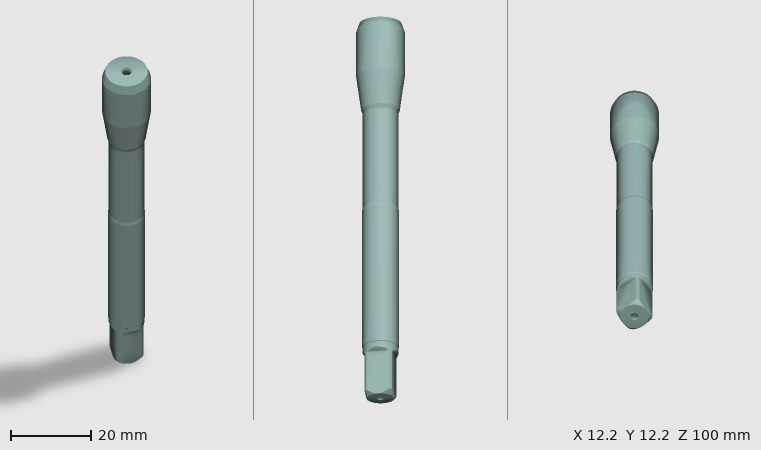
import cadquery as cq

length = 100.0

head_diameter = 12.2
head_top_diameter = 10.6
head_chamfer_height = 2.3
head_bottom_z = 86.1
head_taper_bottom_z = 77.1
head_taper_diameter = 9.7

neck_diameter = 8.9
neck_top_z = 76.1
neck_bottom_z = 50.9

shank_diameter = 9.3
shank_top_z = 50.0
shank_bottom_z = 13.8
shank_bevel_height = 0.2

drive_diameter = 9.0
drive_flat_width = 7.0
drive_flat_top_z = 11.4
drive_ramp_height = 0.8
drive_tip_diameter = 6.9
drive_chamfer_height = 1.2

hole_diameter = 2.0
hole_mouth_diameter = 2.7
hole_mouth_depth = 0.6


def make_body():
    """Revolve the stepped outline, listed from the bottom tip to the top face."""
    diameters_and_heights = [
        (drive_tip_diameter, 0),
        (drive_diameter, drive_chamfer_height),
        (drive_diameter, shank_bottom_z - shank_bevel_height),
        (shank_diameter, shank_bottom_z),
        (shank_diameter, shank_top_z),
        (neck_diameter, neck_bottom_z),
        (neck_diameter, neck_top_z),
        (head_taper_diameter, head_taper_bottom_z),
        (head_diameter, head_bottom_z),
        (head_diameter, length - head_chamfer_height),
        (head_top_diameter, length),
    ]
    outline = [(diameter / 2, z) for diameter, z in diameters_and_heights]
    axis_ends = [(0, length), (0, 0)]
    return cq.Workplane("XZ").polyline(outline + axis_ends).close().revolve(360, (0, 0), (0, 1))


def make_flat_cutter():
    """Block that cuts the +X flat and its sloping run-out up to the drive's round surface."""
    flat_x = drive_flat_width / 2
    round_x = drive_diameter / 2
    profile = [
        (flat_x, 0),
        (round_x, 0),
        (round_x, drive_flat_top_z + drive_ramp_height),
        (flat_x, drive_flat_top_z),
    ]
    return cq.Workplane("XZ").polyline(profile).close().extrude(drive_diameter / 2, both=True)


def make_hole():
    """Through hole along the axis, widened at the top by a countersink."""
    bore = cq.Workplane("XY").circle(hole_diameter / 2).extrude(length)
    countersink = (
        cq.Workplane("XY", origin=(0, 0, length - hole_mouth_depth))
        .circle(hole_diameter / 2)
        .workplane(offset=hole_mouth_depth)
        .circle(hole_mouth_diameter / 2)
        .loft()
    )
    return bore.union(countersink)


result = make_body()
for angle in (0, 90, 180, 270):
    result = result.cut(make_flat_cutter().rotate((0, 0, 0), (0, 0, 1), angle))
result = result.cut(make_hole())